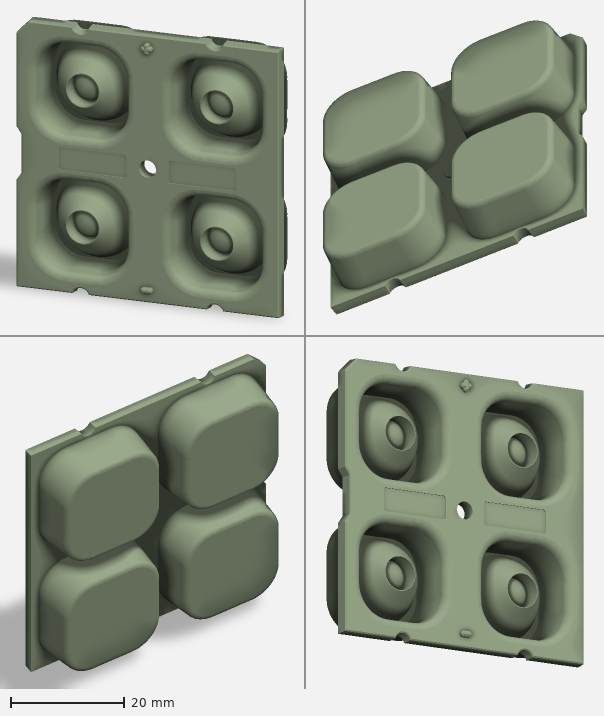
import cadquery as cq
import math


PLATE_SIDE = 49.9
PLATE_THICKNESS = 2.25
PLATE_EDGE_CHAMFER = 0.22
PLATE_EDGE_INSET = 0.15
PLATE_EDGE_DRAFT = math.degrees(math.atan(PLATE_EDGE_INSET / PLATE_THICKNESS))
HALF_SIDE = PLATE_SIDE / 2
CORNER_CUT = 2.5
SIDE_NOTCH_DEPTH = 0.95
SIDE_NOTCH_HALF_MOUTH = 4.9
SIDE_NOTCH_HALF_FLOOR = 3.5
EDGE_NOTCH_RADIUS = 1.5
EDGE_NOTCH_DEPTH = 1.12

HOLE_RADIUS = 1.6
BOSS_RADIUS = 2.5
BOSS_HEIGHT = 0.38

CELL_PITCH = 25.4
CELL_OFFSET = CELL_PITCH / 2
CELL_CENTRES = [(x, z) for x in (-CELL_OFFSET, CELL_OFFSET) for z in (-CELL_OFFSET, CELL_OFFSET)]

HOUSING_HEIGHT = 7.9
HOUSING_BASE = 21.35
HOUSING_TOP = 20.1
HOUSING_CORNER_RADIUS = 6.0
HOUSING_RIM_FILLET = 0.95
COLLAR_HEIGHT = 0.15

POCKET_DEPTH = 8.65
POCKET_MOUTH = 17.5
POCKET_MOUTH_CORNER_RADIUS = 5.95
POCKET_FLOOR = 16.1
POCKET_FLOOR_CORNER_RADIUS = 5.65
POCKET_MOUTH_FILLET = 1.4

LENS_BASE_RADIUS = 7.83
LENS_RIM_RADIUS = 3.17
LENS_RIM_DEPTH = 1.15
LENS_FLANK_BULGE = 0.3
WELL_MOUTH_RADIUS = 3.05
WELL_BOTTOM_RADIUS = 2.83
WELL_DEPTH = 3.2
WELL_DOME_HEIGHT = 1.2
ROOT_OVERLAP = 0.3

PANEL_OFFSET = 10.38
PANEL_LENGTH = 12.8
PANEL_HEIGHT = 4.25
PANEL_DEPTH = 0.2
PANEL_CORNER_RADIUS = 0.4

PIN_LENGTH = 2.2
PIN_WIDTH = 1.1
PIN_HEIGHT = 1.0
PIN_TIP_CHAMFER = 0.35
PIN_OFFSET = 22.45


def plane_at(y, x=0, z=0):
    """Sketch plane at depth y whose axes are +X and +Z; extruding goes toward -Y."""
    return cq.Workplane(cq.Plane(origin=(x, y, z), xDir=(1, 0, 0), normal=(0, -1, 0)))


def rounded_square(side, radius):
    return cq.Sketch().rect(side, side).vertices().fillet(radius)


def tapered_block(x, z, y_start, side_start, radius_start, y_end, side_end, radius_end):
    """Block between two rounded squares, the end one lying toward +Y of the start one."""
    return (
        plane_at(y_end, x, z)
        .placeSketch(
            rounded_square(side_end, radius_end),
            rounded_square(side_start, radius_start).moved(cq.Location(cq.Vector(0, 0, y_end - y_start))),
        )
        .loft(ruled=True)
    )


def make_plate():
    notch_floor = -HALF_SIDE + SIDE_NOTCH_DEPTH
    outline = [
        (-HALF_SIDE, -HALF_SIDE),
        (HALF_SIDE, -HALF_SIDE),
        (HALF_SIDE, HALF_SIDE),
        (-HALF_SIDE + CORNER_CUT, HALF_SIDE),
        (-HALF_SIDE, HALF_SIDE - CORNER_CUT),
        (-HALF_SIDE, SIDE_NOTCH_HALF_MOUTH),
        (notch_floor, SIDE_NOTCH_HALF_FLOOR),
        (notch_floor, -SIDE_NOTCH_HALF_FLOOR),
        (-HALF_SIDE, -SIDE_NOTCH_HALF_MOUTH),
    ]
    plate = (
        plane_at(PLATE_THICKNESS)
        .polyline(outline)
        .close()
        .extrude(PLATE_THICKNESS, taper=PLATE_EDGE_DRAFT)
    )
    notch_offset = HALF_SIDE + EDGE_NOTCH_RADIUS - EDGE_NOTCH_DEPTH
    notch_centres = [(x, z) for x in (-CELL_OFFSET, CELL_OFFSET) for z in (-notch_offset, notch_offset)]
    notches = (
        plane_at(PLATE_THICKNESS)
        .pushPoints(notch_centres)
        .circle(EDGE_NOTCH_RADIUS)
        .extrude(PLATE_THICKNESS, taper=-PLATE_EDGE_DRAFT)
    )
    return plate.cut(notches).faces("<Y").chamfer(PLATE_EDGE_CHAMFER)


def make_housing(x, z):
    collar_back = PLATE_THICKNESS + COLLAR_HEIGHT
    top = PLATE_THICKNESS + HOUSING_HEIGHT
    housing = tapered_block(
        x, z,
        collar_back, HOUSING_BASE, HOUSING_CORNER_RADIUS,
        top, HOUSING_TOP, HOUSING_CORNER_RADIUS,
    )
    housing = housing.faces(">Y").edges().fillet(HOUSING_RIM_FILLET)
    collar = (
        plane_at(collar_back, x, z)
        .placeSketch(rounded_square(HOUSING_BASE, HOUSING_CORNER_RADIUS))
        .extrude(COLLAR_HEIGHT)
    )
    return housing.union(collar)


def make_pocket(x, z):
    return tapered_block(
        x, z,
        0, POCKET_MOUTH, POCKET_MOUTH_CORNER_RADIUS,
        POCKET_DEPTH, POCKET_FLOOR, POCKET_FLOOR_CORNER_RADIUS,
    )


def make_lens(x, z):
    """Solid of revolution about the cell axis, profile in the radius-Y plane."""
    well_floor = LENS_RIM_DEPTH + WELL_DEPTH
    mid_flank = (
        (LENS_BASE_RADIUS + LENS_RIM_RADIUS) / 2 + LENS_FLANK_BULGE,
        (POCKET_DEPTH + LENS_RIM_DEPTH) / 2 - LENS_FLANK_BULGE,
    )
    dome_mid_radius = WELL_BOTTOM_RADIUS / 2
    dome_radius = (WELL_BOTTOM_RADIUS**2 + WELL_DOME_HEIGHT**2) / (2 * WELL_DOME_HEIGHT)
    dome_mid_rise = (dome_radius**2 - dome_mid_radius**2) ** 0.5 - (dome_radius - WELL_DOME_HEIGHT)
    root = POCKET_DEPTH + ROOT_OVERLAP
    profile = (
        cq.Workplane("XY")
        .moveTo(0, root)
        .lineTo(LENS_BASE_RADIUS, root)
        .lineTo(LENS_BASE_RADIUS, POCKET_DEPTH)
        .threePointArc(mid_flank, (LENS_RIM_RADIUS, LENS_RIM_DEPTH))
        .lineTo(WELL_MOUTH_RADIUS, LENS_RIM_DEPTH)
        .lineTo(WELL_BOTTOM_RADIUS, well_floor)
        .threePointArc((dome_mid_radius, well_floor - dome_mid_rise), (0, well_floor - WELL_DOME_HEIGHT))
        .close()
    )
    return profile.revolve(360, (0, 0), (0, 1)).translate((x, 0, z))


def make_pin_bar(z, angle):
    """Oval pin, chamfered at the tip; its long axis is turned by angle from X."""
    return (
        plane_at(0, 0, z)
        .slot2D(PIN_LENGTH, PIN_WIDTH, angle)
        .extrude(PIN_HEIGHT)
        .faces("<Y")
        .chamfer(PIN_TIP_CHAMFER)
    )


def make_label_panels():
    panel = cq.Sketch().rect(PANEL_LENGTH, PANEL_HEIGHT).vertices().fillet(PANEL_CORNER_RADIUS)
    return (
        plane_at(PANEL_DEPTH)
        .pushPoints([(-PANEL_OFFSET, 0), (PANEL_OFFSET, 0)])
        .placeSketch(panel)
        .extrude(PANEL_DEPTH)
    )


def make_body():
    """Plate with housings and pockets; the pocket mouths are the holes in its front face."""
    body = make_plate()
    for x, z in CELL_CENTRES:
        body = body.union(make_housing(x, z))
        body = body.cut(make_pocket(x, z))
    mouth_edges = [edge for wire in body.faces("<Y").val().innerWires() for edge in wire.Edges()]
    return body.newObject(mouth_edges).fillet(POCKET_MOUTH_FILLET)


result = make_body()
for cell_x, cell_z in CELL_CENTRES:
    result = result.union(make_lens(cell_x, cell_z))

boss_back = PLATE_THICKNESS + BOSS_HEIGHT
result = result.union(plane_at(boss_back).circle(BOSS_RADIUS).extrude(BOSS_HEIGHT))
result = result.cut(plane_at(boss_back).circle(HOLE_RADIUS).extrude(boss_back))
result = result.cut(make_label_panels())

for pin_z, pin_angles in ((PIN_OFFSET, (0, 90)), (-PIN_OFFSET, (0,))):
    for pin_angle in pin_angles:
        result = result.union(make_pin_bar(pin_z, pin_angle))